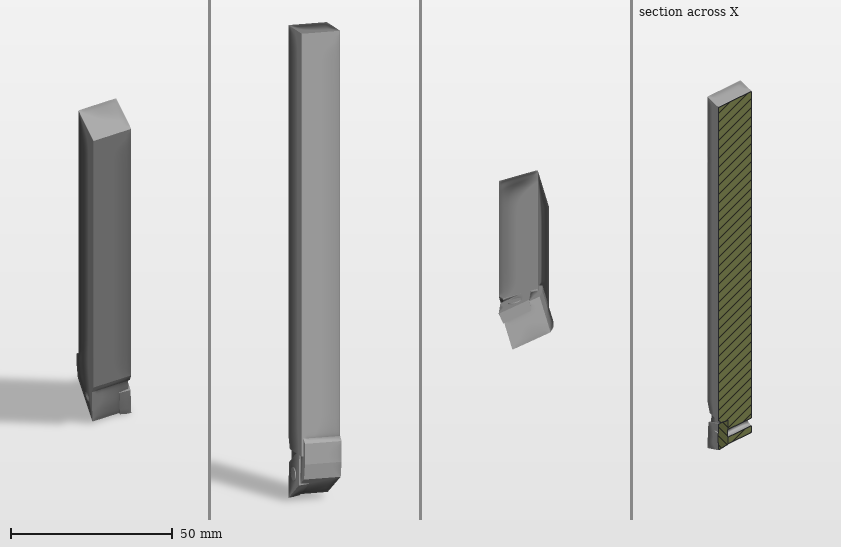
import cadquery as cq
import math

LENGTH = 150.0
WIDTH = 14.0

SHANK_SIDE = 12.6
SHANK_FILLET = 0.3
SHANK_LEFT = WIDTH - SHANK_SIDE

HEAD_DEPTH = 12.0
COLLAR_TOP = 20.1
COLLAR_BOTTOM = 13.5
COLLAR_SHOULDER_TOP = COLLAR_TOP + SHANK_LEFT
HEEL_X = 0.9
HEEL_Z = 8.5
RELIEF_TOP = 20.0
NECK_X = 12.6
NECK_Z = 15.8
HEAD_TIP_X = 13.2
HEAD_TIP_Z = 1.0

INSERT_ANGLE = 55.0
INSERT_INSCRIBED_DIAMETER = 9.52
INSERT_THICKNESS = 3.6
INSERT_CLEARANCE_ANGLE = 7.0
INSERT_LEAN = 120.5
INSERT_FACE = SHANK_SIDE
NOSE_RADIUS = 0.2
BOSS_DIAMETER = 4.2
BOSS_HEIGHT = 0.3
HOLE_DIAMETER = 3.3

HALF_ANGLE = math.radians(INSERT_ANGLE / 2)
LEAN = math.radians(INSERT_LEAN)
EDGE_LENGTH = INSERT_INSCRIBED_DIAMETER / math.sin(2 * HALF_ANGLE)
HALF_LONG = EDGE_LENGTH * math.cos(HALF_ANGLE)
HALF_SHORT = EDGE_LENGTH * math.sin(HALF_ANGLE)
NOSE_TO_CENTER = HALF_LONG - NOSE_RADIUS / math.sin(HALF_ANGLE)
CENTER_X = WIDTH - NOSE_RADIUS + NOSE_TO_CENTER * math.cos(LEAN)
CENTER_Z = NOSE_RADIUS + NOSE_TO_CENTER * math.sin(LEAN)


def xz_plane(y):
    """Sketch plane at height y with local axes X and Z; positive extrusion goes toward -Y."""
    return cq.Workplane("XZ", origin=(0, y, 0))


def make_insert():
    """Tapered rhombic plate with rounded sharp corners and a round central boss."""
    rhombus = (
        xz_plane(INSERT_FACE)
        .center(CENTER_X, CENTER_Z)
        .transformed(rotate=(0, 0, INSERT_LEAN))
        .polyline([(-HALF_LONG, 0), (0, -HALF_SHORT), (HALF_LONG, 0), (0, HALF_SHORT)])
        .close()
    )
    outline = rhombus.val()
    rounded = outline.fillet2D(NOSE_RADIUS, outline.Vertices())
    plate = (
        xz_plane(INSERT_FACE)
        .add(rounded)
        .toPending()
        .extrude(INSERT_THICKNESS, taper=INSERT_CLEARANCE_ANGLE)
    )
    boss = (
        xz_plane(INSERT_FACE)
        .center(CENTER_X, CENTER_Z)
        .circle(BOSS_DIAMETER / 2)
        .extrude(-BOSS_HEIGHT)
    )
    return plate.union(boss)


def make_shank():
    """Square bar with rounded long edges, reaching down to the neck and relieved on its right."""
    bar = (
        cq.Workplane("XY")
        .box(SHANK_SIDE, SHANK_SIDE, LENGTH - NECK_Z, centered=False)
        .edges("|Z")
        .fillet(SHANK_FILLET)
        .translate((SHANK_LEFT, 0, NECK_Z))
    )
    relief = (
        xz_plane(SHANK_SIDE)
        .polyline([(NECK_X, NECK_Z), (WIDTH, RELIEF_TOP), (WIDTH, NECK_Z)])
        .close()
        .extrude(SHANK_SIDE)
    )
    return bar.cut(relief)


def make_head():
    """Cranked head with a collar and a heel on the left, up to the neck on the right."""
    return (
        xz_plane(HEAD_DEPTH)
        .polyline([
            (SHANK_LEFT, COLLAR_SHOULDER_TOP),
            (0, COLLAR_TOP),
            (0, COLLAR_BOTTOM),
            (HEEL_X, HEEL_Z),
            (HEAD_TIP_X, HEAD_TIP_Z),
            (NECK_X, NECK_Z),
        ])
        .close()
        .extrude(HEAD_DEPTH)
    )


def make_holder(insert):
    """Shank and head, with a pocket for the insert and a hole reaching its underside."""
    hole_depth = INSERT_FACE - INSERT_THICKNESS
    hole = (
        xz_plane(hole_depth)
        .center(CENTER_X, CENTER_Z)
        .circle(HOLE_DIAMETER / 2)
        .extrude(hole_depth)
    )
    body = make_shank().union(make_head())
    return body.cut(insert).cut(hole)


insert = make_insert()
holder = make_holder(insert)

result = cq.Compound.makeCompound([holder.val(), insert.val()])